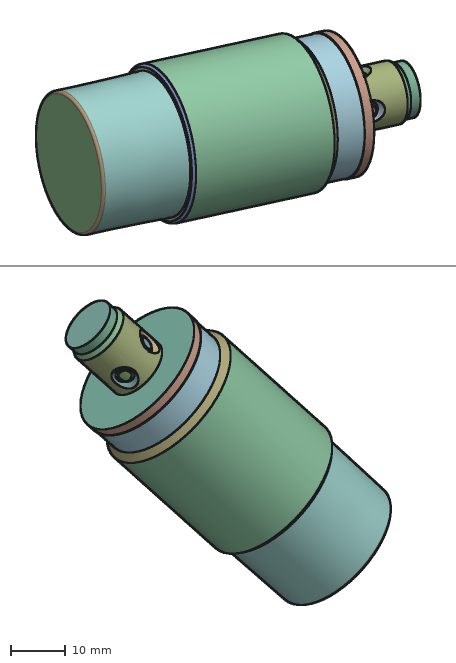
import cadquery as cq

length = 70.0
collar_rear = 68.05
collar_bevel_front = 67.0
recess_y = 59.6
flange_rear = 56.1
flange_front = 54.1
body_shoulder = 48.6
body_front = 18.0

body_diameter = 30.0
body_radius = body_diameter / 2
flange_radius = 13.8
neck_radius = 13.65
core_radius = 5.4
collar_radius = 6.0
nose_rear_radius = 13.8
nose_front_radius = 13.6

body_front_chamfer = 0.55
nose_fillet = 0.55

recess_count = 4
recess_mouth_radius = 2.7
recess_floor_radius = 1.75
recess_depth = 1.0
stud_radius = 1.25


def turned_body():
    """Revolve the stepped half profile around the Y axis."""
    rear_bevel = body_radius - neck_radius
    profile = (
        cq.Workplane("XY")
        .moveTo(0, 0)
        .lineTo(nose_front_radius, 0)
        .lineTo(nose_rear_radius, body_front)
        .lineTo(body_radius - body_front_chamfer, body_front)
        .lineTo(body_radius, body_front + body_front_chamfer)
        .lineTo(body_radius, body_shoulder - rear_bevel)
        .lineTo(neck_radius, body_shoulder)
        .lineTo(neck_radius, flange_front)
        .lineTo(flange_radius, flange_front)
        .lineTo(flange_radius, flange_rear)
        .lineTo(collar_radius, flange_rear)
        .lineTo(collar_radius, collar_bevel_front)
        .lineTo(core_radius, collar_rear)
        .lineTo(core_radius, length)
        .lineTo(0, length)
        .close()
    )
    turned = profile.revolve(360, (0, 0, 0), (0, 1, 0))
    return turned.faces("<Y").edges().fillet(nose_fillet)


def recess_cutter():
    """Conical recess on the +Z side, leaving a stud topped by the core surface."""
    cone = cq.Solid.makeCone(
        recess_floor_radius,
        recess_mouth_radius,
        recess_depth,
        pnt=cq.Vector(0, recess_y, collar_radius - recess_depth),
        dir=cq.Vector(0, 0, 1),
    )
    stud = cq.Workplane("XY").center(0, recess_y).circle(stud_radius).extrude(collar_radius)
    core = cq.Workplane("XZ").circle(core_radius).extrude(-length)
    return cq.Workplane(obj=cone).cut(stud.intersect(core))


result = turned_body()
for index in range(recess_count):
    angle = index * 360 / recess_count
    result = result.cut(recess_cutter().rotate((0, 0, 0), (0, 1, 0), angle))